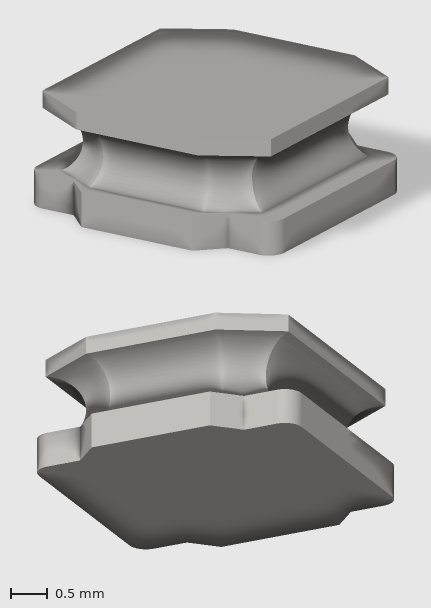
import cadquery as cq
import math

total_height = 1.65
base_height = 0.5
flange_thickness = 0.25
flange_bottom = total_height - flange_thickness

flange_half_x = 1.85
flange_half_y = 2.0
slant_angle = 30.0
slant_start_y = 1.5
slant_run = (flange_half_y - slant_start_y) / math.tan(math.radians(slant_angle))
slant_end_x = flange_half_x - slant_run

groove_radius = 0.48
groove_center_z = flange_bottom - groove_radius
groove_bottom_depth = math.sqrt(groove_radius**2 - (groove_center_z - base_height)**2)
groove_overrun = 1.0

base_half_x = 2.0
base_half_y = 1.65
base_corner_radius = 0.25
tab_half_y = flange_half_y
tab_tip_half_x = 0.9
tab_taper = tab_half_y - base_half_y
tab_root_half_x = tab_tip_half_x + tab_taper

pad_width = 1.8
pad_thickness = 0.12
pad_length = 1.0
pad_center_x = base_half_x - pad_length / 2

flange_corners = [
    (flange_half_x, -slant_start_y),
    (flange_half_x, slant_start_y),
    (slant_end_x, flange_half_y),
    (-slant_end_x, flange_half_y),
    (-flange_half_x, slant_start_y),
    (-flange_half_x, -slant_start_y),
    (-slant_end_x, -flange_half_y),
    (slant_end_x, -flange_half_y),
]


def groove_cutter(start, end):
    """Straight groove along one flange side, long enough to mitre with its neighbours."""
    side_x = end[0] - start[0]
    side_y = end[1] - start[1]
    middle = ((start[0] + end[0]) / 2, (start[1] + end[1]) / 2, 0)
    profile_plane = cq.Plane(origin=middle, xDir=(-side_y, side_x, 0), normal=(side_x, side_y, 0))
    cutter_length = 2 * (flange_half_x + flange_half_y)
    return (
        cq.Workplane(profile_plane)
        .moveTo(-groove_overrun, flange_bottom)
        .lineTo(0, flange_bottom)
        .threePointArc((groove_radius, groove_center_z), (groove_bottom_depth, base_height))
        .lineTo(-groove_overrun, base_height)
        .close()
        .extrude(cutter_length / 2, both=True)
    )


def make_drum():
    """Flange and grooved neck standing on the base plane."""
    drum = (
        cq.Workplane("XY", origin=(0, 0, base_height))
        .polyline(flange_corners)
        .close()
        .extrude(total_height - base_height)
    )
    next_corners = flange_corners[1:] + flange_corners[:1]
    for start, end in zip(flange_corners, next_corners):
        drum = drum.cut(groove_cutter(start, end))
    return drum


def make_base():
    """Rounded plate with the two Y tabs."""
    plate = (
        cq.Workplane("XY")
        .rect(2 * base_half_x, 2 * base_half_y)
        .extrude(base_height)
        .edges("|Z")
        .fillet(base_corner_radius)
    )
    tabs = (
        cq.Workplane("XY")
        .polyline([
            (-tab_root_half_x, -base_half_y),
            (-tab_tip_half_x, -tab_half_y),
            (tab_tip_half_x, -tab_half_y),
            (tab_root_half_x, -base_half_y),
            (tab_root_half_x, base_half_y),
            (tab_tip_half_x, tab_half_y),
            (-tab_tip_half_x, tab_half_y),
            (-tab_root_half_x, base_half_y),
        ])
        .close()
        .extrude(base_height)
    )
    return plate.union(tabs)


def make_pad(center_x):
    """Flat terminal pad on the underside."""
    return (
        cq.Workplane("XY")
        .center(center_x, 0)
        .rect(pad_length, pad_width)
        .extrude(pad_thickness)
    )


pads = [make_pad(side * pad_center_x) for side in (-1, 1)]

core = make_drum().union(make_base())
for pad in pads:
    core = core.cut(pad)

result = cq.Compound.makeCompound([core.solids().val(), *[pad.val() for pad in pads]])